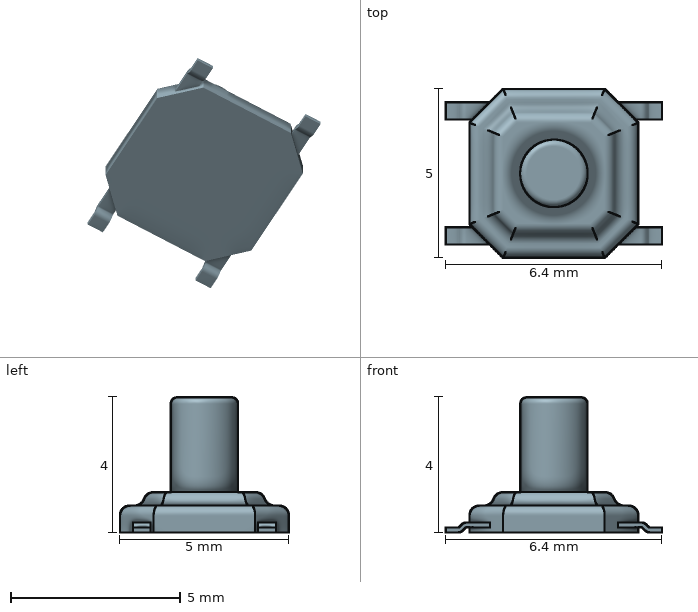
import cadquery as cq
import math

body_width = 5.0
corner_cut = 1.0
wall_height = 0.5
round_radius = 0.3
shelf_height = wall_height + round_radius
crown_height = 1.2
crown_inset = 1.0

button_diameter = 2.0
button_top = 4.0
button_round = 0.2

lead_span = 6.4
lead_width = 0.52
lead_offset = 1.85
lead_thickness = 0.1505
foot_length = 0.365
bend_inner_radius = 0.05
bend_angle = math.radians(45)
lead_buried_x = 1.5


def make_wall_slab(half_width):
    """Full-width body profile, extruded long enough to cover the body."""
    crown_rise = crown_height - shelf_height
    curve_angle = math.acos(1 - crown_rise / 2 / round_radius)
    curve_run = round_radius * math.sin(curve_angle)
    half_run = round_radius * math.sin(curve_angle / 2)
    half_rise = round_radius * (1 - math.cos(curve_angle / 2))
    diagonal = round_radius * math.sqrt(0.5)
    crown_x = half_width - crown_inset
    middle_x = crown_x + curve_run
    shelf_x = middle_x + curve_run
    middle_z = (shelf_height + crown_height) / 2
    shoulder_x = half_width - round_radius
    half_profile = (
        cq.Workplane("XZ")
        .lineTo(half_width, 0)
        .lineTo(half_width, wall_height)
        .threePointArc((shoulder_x + diagonal, wall_height + diagonal), (shoulder_x, shelf_height))
        .lineTo(shelf_x, shelf_height)
        .threePointArc((shelf_x - half_run, shelf_height + half_rise), (middle_x, middle_z))
        .threePointArc((crown_x + half_run, crown_height - half_rise), (crown_x, crown_height))
        .lineTo(0, crown_height)
        .close()
    )
    half_slab = half_profile.extrude(body_width, both=True)
    return half_slab.union(half_slab.mirror("YZ"))


def make_body():
    """Intersect four slabs so every side of the octagon has the same profile."""
    straight_half = body_width / 2
    diagonal_half = (body_width - corner_cut) / math.sqrt(2)
    body = make_wall_slab(straight_half)
    for angle, half_width in ((45, diagonal_half), (90, straight_half), (135, diagonal_half)):
        body = body.intersect(make_wall_slab(half_width).rotate((0, 0, 0), (0, 0, 1), angle))
    return body


def make_button():
    return (
        cq.Workplane("XY")
        .circle(button_diameter / 2)
        .extrude(button_top)
        .faces(">Z")
        .edges()
        .fillet(button_round)
    )


def make_lead():
    """Lead at +X, +Y: a flat strip with two opposite, equal bends joined by a straight ramp."""
    sine = math.sin(bend_angle)
    drop = 1 - math.cos(bend_angle)
    inner = bend_inner_radius
    outer = bend_inner_radius + lead_thickness
    arm_bottom = lead_thickness
    arm_top = arm_bottom + lead_thickness
    ramp_rise = arm_bottom - (inner + outer) * drop
    bend_run = (inner + outer) * sine + ramp_rise / math.tan(bend_angle)
    tip_x = lead_span / 2
    foot_x = tip_x - foot_length
    arm_x = foot_x - bend_run
    outline = (
        cq.Workplane("XZ", origin=(0, lead_offset, 0))
        .moveTo(tip_x, 0)
        .lineTo(tip_x, lead_thickness)
        .lineTo(foot_x, lead_thickness)
        .tangentArcPoint((foot_x - inner * sine, lead_thickness + inner * drop), relative=False)
        .lineTo(arm_x + outer * sine, arm_top - outer * drop)
        .tangentArcPoint((arm_x, arm_top), relative=False)
        .lineTo(lead_buried_x, arm_top)
        .lineTo(lead_buried_x, arm_bottom)
        .lineTo(arm_x, arm_bottom)
        .tangentArcPoint((arm_x + inner * sine, arm_bottom - inner * drop), relative=False)
        .lineTo(foot_x - outer * sine, outer * drop)
        .tangentArcPoint((foot_x, 0), relative=False)
        .close()
    )
    return outline.extrude(lead_width / 2, both=True)


result = make_body().union(make_button())
right_back_lead = make_lead()
back_leads = right_back_lead.union(right_back_lead.mirror("YZ"))
result = result.union(back_leads).union(back_leads.mirror("XZ"))